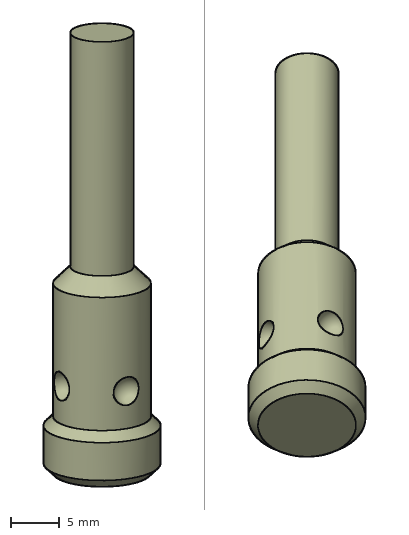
import cadquery as cq

total_height = 47.0
stem_radius = 6.5 / 2
body_radius = 10.0 / 2
collar_radius = 12.0 / 2

collar_chamfer = collar_radius - body_radius
collar_top = 6.0
body_top = 22.0
body_chamfer = body_radius - stem_radius

dimple_radius = 1.5
dimple_height = 10.0
dimple_count = 4


def turned_pin():
    """Stem, body and collar as one revolved profile with 45 degree chamfers."""
    profile = (
        cq.Workplane("XZ")
        .lineTo(body_radius, 0)
        .lineTo(collar_radius, collar_chamfer)
        .lineTo(collar_radius, collar_top - collar_chamfer)
        .lineTo(body_radius, collar_top)
        .lineTo(body_radius, body_top - body_chamfer)
        .lineTo(stem_radius, body_top)
        .lineTo(stem_radius, total_height)
        .lineTo(0, total_height)
        .close()
    )
    return profile.revolve(360, (0, 0, 0), (0, 1, 0))


def dimple_cutter(angle):
    """Ball centred on the body surface at the given angle about Z."""
    ball = cq.Workplane("XY").sphere(dimple_radius)
    ball = ball.translate((body_radius, 0, dimple_height))
    return ball.rotate((0, 0, 0), (0, 0, 1), angle)


result = turned_pin()
for index in range(dimple_count):
    result = result.cut(dimple_cutter(index * 360 / dimple_count))